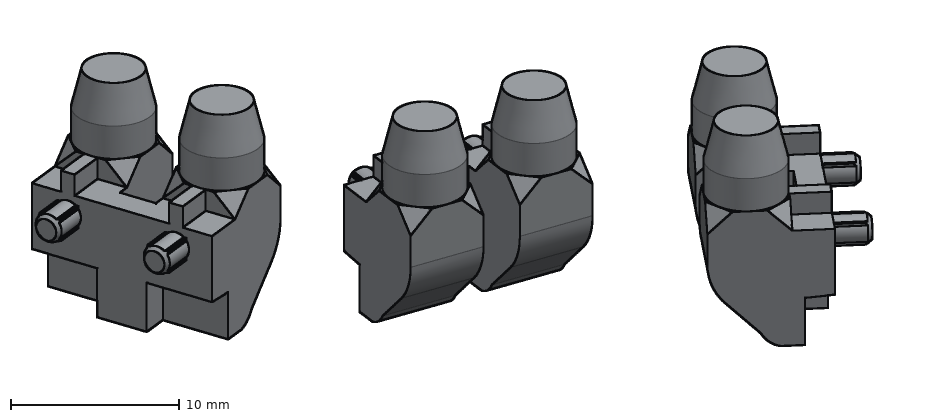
import cadquery as cq
import math

post_diameter = 5.08
post_pitch = 7.61
width = post_pitch + post_diameter
height = 13.92
post_centers_x = (post_diameter / 2, width - post_diameter / 2)

shelf_depth = 2.55
depth = shelf_depth + post_diameter
post_center_y = shelf_depth + post_diameter / 2
shelf_z = 7.73
head_z = 9.15
back_radius = 3.62
bevel_angle = math.radians(45)
bevel_base_y = 3.52
heel_radius = 1.8
heel_top_z = 0.9
heel_front_y = 3.27

web_thickness = 1.78
foot_width = 3.5
recess_front_z = 3.3
recess_back_z = 3.17

rib_width = 0.96

post_taper_z = 11.35
post_tip_diameter = 3.83

pin_diameter = 1.84
pin_key_side = 1.48
pin_tip_diameter = 1.42
pin_length = 2.41
pin_tip_chamfer = 0.28
pin_z = 6.36


def make_housing():
    """Side profile with a rounded back, 45 degree bevel and rounded heel, cleared between the arms."""
    bevel_back_z = depth - bevel_base_y
    tangent_length = back_radius * math.tan(bevel_angle / 2)
    tangent_offset = tangent_length * math.cos(bevel_angle)
    profile = (
        cq.Workplane("YZ")
        .lineTo(0, shelf_z)
        .lineTo(depth, shelf_z)
        .lineTo(depth, bevel_back_z + tangent_length)
        .tangentArcPoint((depth - tangent_offset, bevel_back_z - tangent_offset), relative=False)
        .lineTo(bevel_base_y + heel_top_z, heel_top_z)
        .radiusArc((heel_front_y, 0), heel_radius)
        .close()
    )
    housing = profile.extrude(width)
    arm_gap = cq.Workplane("XY").box(
        post_pitch - post_diameter, depth - web_thickness, shelf_z, centered=False
    )
    return housing.cut(arm_gap.translate((post_diameter, web_thickness, 0)))


def make_foot_recess(x_start):
    """Front corner recess with a slightly sloping roof."""
    profile = (
        cq.Workplane("YZ")
        .lineTo(0, recess_front_z)
        .lineTo(web_thickness, recess_back_z)
        .lineTo(web_thickness, 0)
        .close()
    )
    return profile.extrude((width - foot_width) / 2).translate((x_start, 0, 0))


def make_tetrahedron(a, b, c, d):
    """Solid bounded by the four triangles between four corner points."""
    triangles = ((a, b, c), (a, b, d), (a, c, d), (b, c, d))
    faces = []
    for triangle in triangles:
        outline = cq.Wire.makePolygon(list(triangle), close=True)
        faces.append(cq.Face.makeFromWires(outline))
    return cq.Workplane(cq.Solid.makeSolid(cq.Shell.makeShell(faces)))


def make_head(center_x):
    """Square-to-octagon transition below a post, its corners cut off down to the shelf."""
    head_height = head_z - shelf_z
    octagon_half_angle = math.pi / 8
    corner_cut = post_diameter * (1 - math.tan(octagon_half_angle)) / 2
    half = post_diameter / 2
    head = (
        cq.Workplane("XY", origin=(center_x, post_center_y, shelf_z))
        .rect(post_diameter, post_diameter)
        .extrude(head_height)
    )
    for side_x in (-1, 1):
        for side_y in (-1, 1):
            corner = cq.Vector(center_x + side_x * half, post_center_y + side_y * half, head_z)
            toward_x = corner - cq.Vector(side_x * corner_cut, 0, 0)
            toward_y = corner - cq.Vector(0, side_y * corner_cut, 0)
            below = corner - cq.Vector(0, 0, head_height)
            head = head.cut(make_tetrahedron(corner, toward_x, toward_y, below))
    return head


def make_post(center_x):
    """Cylinder with a conical tip."""
    half_profile = (
        cq.Workplane("XZ", origin=(center_x, post_center_y, 0))
        .moveTo(0, head_z)
        .lineTo(post_diameter / 2, head_z)
        .lineTo(post_diameter / 2, post_taper_z)
        .lineTo(post_tip_diameter / 2, height)
        .lineTo(0, height)
        .close()
    )
    return half_profile.revolve(360, (0, 0, 0), (0, 1, 0))


def make_rib(center_x):
    """Upright rib on the shelf, from the front face to the head."""
    rib = cq.Workplane("XY").box(
        rib_width, shelf_depth, head_z - shelf_z, centered=(True, False, False)
    )
    return rib.translate((center_x, 0, shelf_z))


def make_pin(center_x):
    """Pin pointing along -Y, with its tip and key corners chamfered by one cone."""
    base = cq.Workplane("XZ", origin=(center_x, 0, pin_z))
    shank = base.circle(pin_diameter / 2).extrude(pin_length)
    key = base.rect(pin_key_side, pin_key_side).extrude(pin_length)
    tip_slope = (pin_diameter - pin_tip_diameter) / 2 / pin_tip_chamfer
    cone = cq.Solid.makeCone(
        pin_tip_diameter / 2 + tip_slope * pin_length,
        pin_tip_diameter / 2,
        pin_length,
        pnt=cq.Vector(center_x, 0, pin_z),
        dir=cq.Vector(0, -1, 0),
    )
    return shank.union(key).intersect(cq.Workplane(cone))


result = make_housing()
for recess_x in (0, (width + foot_width) / 2):
    result = result.cut(make_foot_recess(recess_x))
for center_x in post_centers_x:
    for feature in (make_head, make_rib, make_post, make_pin):
        result = result.union(feature(center_x))